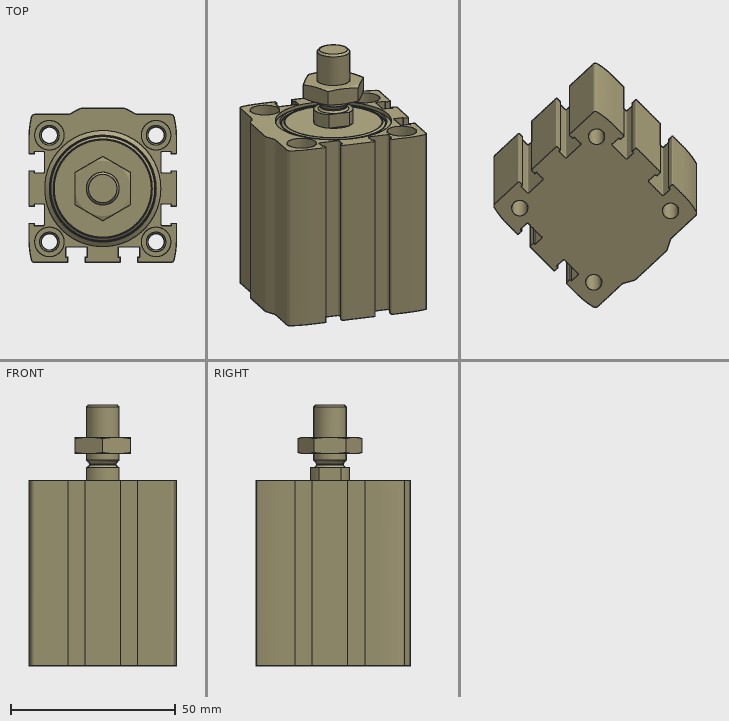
import cadquery as cq
import math

body_height = 56.5
half_width = 22.5
back_edge = 22.65
hump_top = 24.5
hump_top_half = 6.75
hump_base_half = 10.2
hump_fillet = 2.0
side_arc_start = 15.7
side_arc_radius = 25.0
front_corner_fillet = 1.0
back_corner_fillet = 1.2

slot_offset = 8.0
slot_mouth = 5.2
slot_inner_width = 6.5
slot_floor = 17.8
slot_lip_inner = 20.85
slot_fillet = 0.3

hole_pitch = 32.5
counterbore_diameter = 9.0
counterbore_depth = 5.1
hole_diameter = 4.92
countersink_diameter = 6.0

recess_radius = 35.4 / 2
recess_depth = 1.15
ring_crest_radius = 16.3
ring_crest_depth = 0.35
groove_outer_radius = 16.0
groove_inner_radius = 15.85
groove_depth = 0.8
cover_lip_outer_radius = 15.1
cover_lip_inner_radius = 14.8
cover_lip_depth = 0.2
cover_depth = 0.4

rod_radius = 6.0
rod_bottom = 46.5
rod_flats = 10.0
rod_shoulder = body_height + 3.95
rod_top = 79.5
neck_radius = 8.1 / 2
neck_height = 0.4
neck_foot_radius = 4.7
thread_radius = 5.0
thread_minor_radius = 8.65 / 2
thread_start = body_height + 6.2

nut_width = 17.0
nut_height = 5.0
nut_bottom = body_height + 8.1
nut_face_diameter = 16.8
nut_bevel_angle = 15.0


def housing_blank():
    """Extruded housing with curved side ends, rounded corners and a raised hump on +Y."""

    def side_x(y):
        return half_width - side_arc_radius + math.sqrt(side_arc_radius**2 - (y - side_arc_start) ** 2)

    front_x = side_x(half_width)
    back_x = side_x(back_edge)
    middle_y = (side_arc_start + half_width) / 2
    middle_x = side_x(middle_y)
    blank = (
        cq.Workplane("XY")
        .moveTo(-front_x, -half_width)
        .lineTo(front_x, -half_width)
        .threePointArc((middle_x, -middle_y), (half_width, -side_arc_start))
        .lineTo(half_width, side_arc_start)
        .threePointArc((middle_x, middle_y), (back_x, back_edge))
        .lineTo(hump_base_half, back_edge)
        .lineTo(hump_top_half, hump_top)
        .lineTo(-hump_top_half, hump_top)
        .lineTo(-hump_base_half, back_edge)
        .lineTo(-back_x, back_edge)
        .threePointArc((-middle_x, middle_y), (-half_width, side_arc_start))
        .lineTo(-half_width, -side_arc_start)
        .threePointArc((-middle_x, -middle_y), (-front_x, -half_width))
        .close()
        .extrude(body_height)
    )

    def upright_edges_at(x, y):
        """Vertical edges at (x, y) and its mirror image at (-x, y)."""
        selector = cq.selectors.BoxSelector
        size = 0.1
        edges = cq.Workplane("XY")
        for sx in (-1, 1):
            low = (sx * x - size, y - size, 0)
            high = (sx * x + size, y + size, body_height)
            edges = edges.add(blank.edges("|Z").edges(selector(low, high)).vals())
        return edges.vals()

    front_corners = upright_edges_at(front_x, -half_width)
    back_corners = upright_edges_at(back_x, back_edge)
    hump = upright_edges_at(hump_top_half, hump_top) + upright_edges_at(hump_base_half, back_edge)
    blank = blank.newObject(front_corners).fillet(front_corner_fillet)
    blank = blank.newObject(back_corners).fillet(back_corner_fillet)
    return blank.newObject(hump).fillet(hump_fillet)


def slot_cutter():
    """T-slot opening toward +X on the +Y side of its rib, with rounded floor corners and mouth edges."""
    channel = (
        cq.Workplane("XY")
        .box(slot_lip_inner - slot_floor, slot_inner_width, body_height, centered=(False, True, False))
        .edges("|Z and <X")
        .fillet(slot_fillet)
    )
    half_mouth = slot_mouth / 2
    mouth_end = half_width - slot_floor
    r = slot_fillet
    bend = r * (1 - math.sqrt(0.5))
    mouth = (
        cq.Workplane("XY")
        .moveTo(r, -half_mouth)
        .lineTo(mouth_end - r, -half_mouth)
        .threePointArc((mouth_end - bend, -half_mouth - bend), (mouth_end, -half_mouth - r))
        .lineTo(mouth_end, half_mouth + r)
        .threePointArc((mouth_end - bend, half_mouth + bend), (mouth_end - r, half_mouth))
        .lineTo(r, half_mouth)
        .close()
        .extrude(body_height)
    )
    return channel.union(mouth).translate((slot_floor, slot_offset, 0))


def mounting_holes():
    """Counterbored and countersunk through holes at the four corners."""
    countersink_depth = (countersink_diameter - hole_diameter) / 2
    floor = body_height - counterbore_depth
    profile = (
        cq.Workplane("XZ")
        .lineTo(hole_diameter / 2, 0)
        .lineTo(hole_diameter / 2, floor - countersink_depth)
        .lineTo(countersink_diameter / 2, floor)
        .lineTo(counterbore_diameter / 2, floor)
        .lineTo(counterbore_diameter / 2, body_height)
        .lineTo(0, body_height)
        .close()
    )
    hole = profile.revolve(360, (0, 0, 0), (0, 1, 0))
    holes = cq.Workplane("XY")
    for x in (-hole_pitch / 2, hole_pitch / 2):
        for y in (-hole_pitch / 2, hole_pitch / 2):
            holes = holes.add(hole.translate((x, y, 0)))
    return holes


def cover_recess():
    """Turned recess in the top face: bevelled ring, groove and slightly sunk cover face."""
    top = body_height
    return (
        cq.Workplane("XZ")
        .moveTo(0, top)
        .lineTo(recess_radius, top)
        .lineTo(recess_radius, top - recess_depth)
        .lineTo(ring_crest_radius, top - ring_crest_depth)
        .lineTo(groove_outer_radius, top - groove_depth)
        .lineTo(groove_inner_radius, top - groove_depth)
        .lineTo(cover_lip_outer_radius, top - cover_lip_depth)
        .lineTo(cover_lip_inner_radius, top - cover_depth)
        .lineTo(0, top - cover_depth)
        .close()
        .revolve(360, (0, 0, 0), (0, 1, 0))
    )


def make_housing():
    housing = housing_blank()
    slot = slot_cutter()
    mirrored_slot = slot.mirror("XZ")
    for angle in (0, 180, 270):
        for cutter in (slot, mirrored_slot):
            housing = housing.cut(cutter.rotate((0, 0, 0), (0, 0, 1), angle))
    housing = housing.cut(mounting_holes()).cut(cover_recess())
    rod_bore_height = body_height - rod_bottom
    rod_bore = cq.Workplane("XY").workplane(offset=rod_bottom).circle(rod_radius).extrude(rod_bore_height)
    return housing.cut(rod_bore)


def make_rod():
    """Piston rod with wrench flats, a relief neck and a chamfered thread end."""
    chamfer = thread_radius - thread_minor_radius
    neck_bottom = rod_shoulder + neck_foot_radius - neck_radius
    rod = (
        cq.Workplane("XZ")
        .moveTo(0, rod_bottom)
        .lineTo(rod_radius, rod_bottom)
        .lineTo(rod_radius, rod_shoulder)
        .lineTo(neck_foot_radius, rod_shoulder)
        .lineTo(neck_radius, neck_bottom)
        .lineTo(neck_radius, neck_bottom + neck_height)
        .lineTo(thread_minor_radius, thread_start - chamfer)
        .lineTo(thread_radius, thread_start)
        .lineTo(thread_radius, rod_top - chamfer)
        .lineTo(thread_minor_radius, rod_top)
        .lineTo(0, rod_top)
        .close()
        .revolve(360, (0, 0, 0), (0, 1, 0))
    )
    flats_bottom = body_height - cover_depth
    flats_height = rod_shoulder - flats_bottom
    shoulder = cq.Workplane("XY").workplane(offset=flats_bottom)
    stock = shoulder.rect(2 * rod_radius, 2 * rod_radius).extrude(flats_height)
    between_flats = shoulder.rect(rod_flats, 2 * rod_radius).extrude(flats_height)
    return rod.cut(stock.cut(between_flats))


def make_nut():
    """Hexagon nut with two flats facing +X and -X and both faces bevelled."""
    corner_radius = nut_width / math.sqrt(3)
    face_radius = nut_face_diameter / 2
    bevel_height = (corner_radius - face_radius) * math.tan(math.radians(nut_bevel_angle))
    hexagon = (
        cq.Workplane("XY")
        .polygon(6, 2 * corner_radius)
        .extrude(nut_height)
        .rotate((0, 0, 0), (0, 0, 1), 30)
    )
    envelope = (
        cq.Workplane("XZ")
        .moveTo(thread_radius, 0)
        .lineTo(face_radius, 0)
        .lineTo(corner_radius, bevel_height)
        .lineTo(corner_radius, nut_height - bevel_height)
        .lineTo(face_radius, nut_height)
        .lineTo(thread_radius, nut_height)
        .close()
        .revolve(360, (0, 0, 0), (0, 1, 0))
    )
    return hexagon.intersect(envelope).translate((0, 0, nut_bottom))


housing = make_housing().solids()
rod = make_rod().solids()
nut = make_nut().solids()

result = cq.Compound.makeCompound([housing.val(), rod.val(), nut.val()])